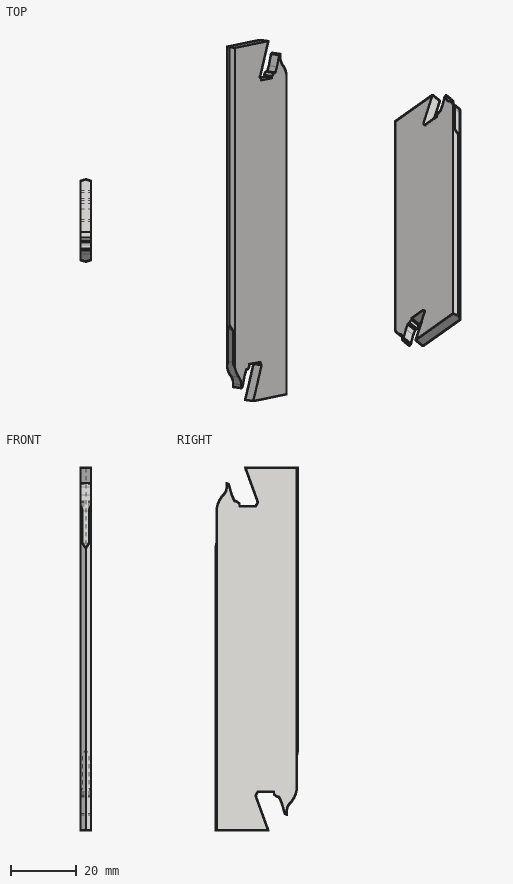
import cadquery as cq
import math

length = 110.0
height = 25.1
thickness = 3.3
half_length = length / 2
half_height = height / 2
half_thickness = thickness / 2

ridge_depth = 0.5
flat_depth = 0.3
flat_y = -half_height + flat_depth
flat_end_z = 32.1
ramp_end_z = 30.6

mouth_y = -3.5
clamp_angle = 20.0
seat_floor_z = 43.3
seat_corner_z = 44.4
seat_corner_run = 0.7
step_y = -5.2
step_top_z = 44.0
ledge_start = (-6.0, 44.8)
ledge_end = (-6.7, 44.9)
throat = (-7.5, 46.5)

tip_back = (-8.5, 49.9)
tip_front = (-9.1, 50.3)
jaw_neck = (-9.1, 49.2)
jaw_shoulder = (-10.1, 46.8)
jaw_base = (flat_y, 41.9)


def blade_bar():
    """Full-length bar whose long edges rise to a central ridge."""
    shoulder = half_height - ridge_depth
    return (
        cq.Workplane("XY")
        .workplane(offset=-half_length)
        .polyline([
            (-half_thickness, -shoulder),
            (0, -half_height),
            (half_thickness, -shoulder),
            (half_thickness, shoulder),
            (0, half_height),
            (-half_thickness, shoulder),
        ])
        .close()
        .extrude(length)
    )


def end_cutter():
    """Material removed at the upper end: insert seat, jaw front and edge flat."""
    clearance = 1.1
    outside_y = -half_height - clearance
    clamp_y = mouth_y + (half_length - seat_corner_z) * math.tan(math.radians(clamp_angle))
    return (
        cq.Workplane("YZ")
        .workplane(offset=-thickness)
        .moveTo(mouth_y, half_length)
        .lineTo(clamp_y, seat_corner_z)
        .lineTo(clamp_y - seat_corner_run, seat_floor_z)
        .lineTo(step_y, seat_floor_z)
        .lineTo(step_y, step_top_z)
        .lineTo(*ledge_start)
        .lineTo(*ledge_end)
        .lineTo(*throat)
        .lineTo(*tip_back)
        .lineTo(*tip_front)
        .lineTo(*jaw_neck)
        .tangentArcPoint(jaw_shoulder, relative=False)
        .tangentArcPoint(jaw_base, relative=False)
        .lineTo(flat_y, flat_end_z)
        .lineTo(-half_height, ramp_end_z)
        .lineTo(outside_y, ramp_end_z)
        .lineTo(outside_y, half_length + clearance)
        .lineTo(mouth_y, half_length + clearance)
        .close()
        .extrude(2 * thickness)
    )


result = blade_bar()
for turn in (0, 180):
    result = result.cut(end_cutter().rotate((0, 0, 0), (1, 0, 0), turn))